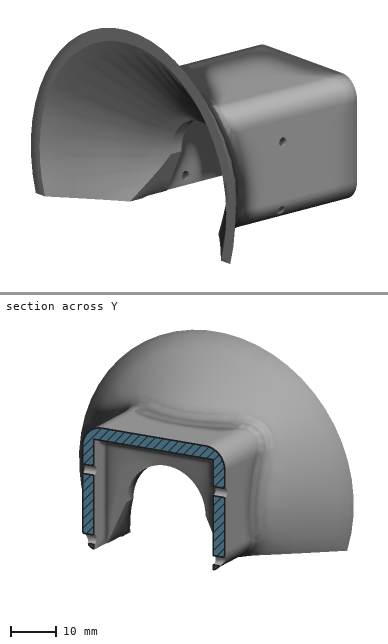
import cadquery as cq

mouth_radius = 34.87
wall = 3.0
throat_radius = 10.0
throat_depth = 19.5
throat_plate = 3.0
base_z = -10.71

length = 49.5
channel_width = 36.2
channel_top_z = 18.2
corner_radius = 5.0
channel_overlap_y = 5.0
blend_radius = 5.0

hole_diameter = 2.05
hole_y = 28.0
hole_heights = (-8.0, 8.0)

plate_back_y = throat_depth + throat_plate
cone_slope = (mouth_radius - wall - throat_radius) / throat_depth
cavity_width = channel_width - 2 * wall
cavity_top_z = channel_top_z - wall


def revolve_about_y(points):
    """Turn an outline of (radius, Y) points about the Y axis."""
    return cq.Workplane("XY").polyline(points).close().revolve(360, (0, 0, 0), (0, 1, 0))


def box_along_y(width, bottom_z, top_z, start_y, end_y):
    """Box centred on X = 0."""
    size = (width, end_y - start_y, top_z - bottom_z)
    block = cq.Workplane("XY").box(*size, centered=(True, False, False))
    return block.translate((0, start_y, bottom_z))


def make_outer_body():
    """Solid cone joined to the rounded channel, with a fillet along the joint."""
    back_radius = mouth_radius - cone_slope * plate_back_y
    cone = revolve_about_y([(0, 0), (mouth_radius, 0), (back_radius, plate_back_y), (0, plate_back_y)])
    channel = box_along_y(channel_width, base_z, channel_top_z, channel_overlap_y, length)
    channel = channel.edges("|Y").fillet(corner_radius)
    body = cone.union(channel)
    joint = cq.selectors.BoxSelector(
        (-mouth_radius, channel_overlap_y, -mouth_radius),
        (mouth_radius, plate_back_y, mouth_radius),
    )
    return body.edges(joint).edges("not |Y").fillet(blend_radius)


def make_flare_cavity():
    """Inner cone from the mouth down to the throat."""
    return revolve_about_y([
        (0, 0),
        (mouth_radius - wall, 0),
        (throat_radius, throat_depth),
        (0, throat_depth),
    ])


def make_throat_opening():
    """Half-round opening that widens below the axis to the cavity width."""
    half_width = cavity_width / 2
    return (
        cq.Workplane("XZ")
        .moveTo(-throat_radius, 0)
        .threePointArc((0, throat_radius), (throat_radius, 0))
        .lineTo(half_width, base_z)
        .lineTo(-half_width, base_z)
        .close()
        .extrude(-length)
    )


def make_screw_holes():
    """Holes along X, long enough to pass through both side walls."""
    return (
        cq.Workplane("YZ")
        .pushPoints([(hole_y, z) for z in hole_heights])
        .circle(hole_diameter / 2)
        .extrude(channel_width, both=True)
    )


channel_cavity = box_along_y(cavity_width, base_z, cavity_top_z, plate_back_y, length)
above_base = box_along_y(2 * mouth_radius, base_z, mouth_radius, 0, length)

result = (
    make_outer_body()
    .intersect(above_base)
    .cut(make_flare_cavity())
    .cut(make_throat_opening())
    .cut(channel_cavity)
    .cut(make_screw_holes())
)